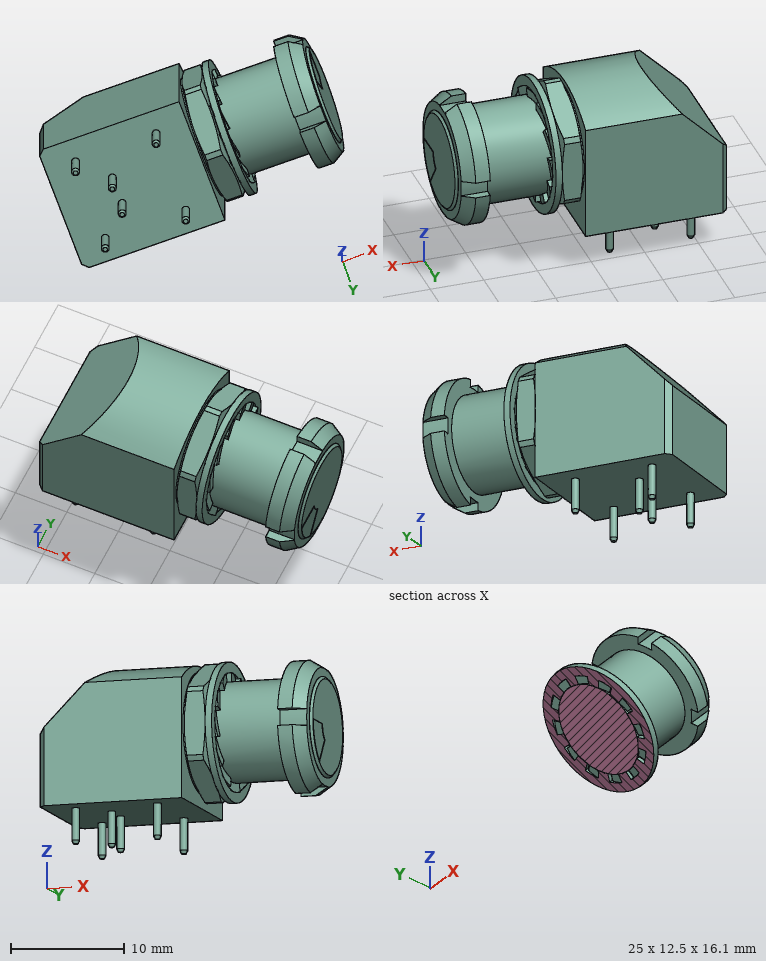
import cadquery as cq
import math

axis_height = 6.7

housing_length = 13.3
housing_width = 11.72
housing_side_height = 10.85
housing_crown_height = 12.7
slope_start_height = 6.55
back_corner_chamfer = 0.52

pin_radius = 0.35
pin_tip_radius = 0.2
pin_length = 3.2
pin_tip_length = 0.3
pin_pitch = 2.52
back_pin_x = 2.8
corner_pin_y = 1.5 * pin_pitch
inner_pin_y = 0.5 * pin_pitch
pin_positions = [
    (back_pin_x + column * pin_pitch, side * y)
    for column, y in [(0, corner_pin_y), (1, inner_pin_y), (3, corner_pin_y)]
    for side in (-1, 1)
]

nut_across_flats = 11.0
nut_corner_radius = 6.2
nut_collar_radius = 5.5
nut_collar_length = 0.12
nut_end_radius = 5.4
nut_chamfer_length = 0.22
nut_end_x = 15.38

washer_center_x = 15.9
washer_thickness = 0.6
washer_radius = 6.25
tooth_root_radius = 5.3
tooth_count = 12
tooth_angle = 28.0
tooth_tilt = 9.5

barrel_radius = 4.5
barrel_end_x = 24.95
barrel_end_chamfer = 0.22

flange_start_x = 22.22
flange_cone_x = 23.58
flange_end_x = 24.7
flange_radius = 6.0
flange_end_radius = 5.3
slot_count = 4
slot_width = 1.5
slot_floor_radius = 5.25

key_end_x = 25.0
key_inner_radius = 1.62
key_outer_radius = barrel_radius - barrel_end_chamfer
key_angle = 55.0


def revolve_on_axis(profile):
    """Turn a profile of (x, radius) points about the barrel axis, starting at the -Y side."""
    return (
        cq.Workplane("XY")
        .polyline([(x, -radius) for x, radius in profile])
        .close()
        .revolve(360, (0, 0, 0), (1, 0, 0))
        .translate((0, 0, axis_height))
    )


def cylinder_on_axis(start_x, end_x, radius):
    return revolve_on_axis([(start_x, 0), (start_x, radius), (end_x, radius), (end_x, 0)])


def ring_on_axis(start_x, end_x, inner_radius, outer_radius):
    return revolve_on_axis([
        (start_x, inner_radius),
        (start_x, outer_radius),
        (end_x, outer_radius),
        (end_x, inner_radius),
    ])


def turn_about_axis(body, angle):
    return body.rotate((0, 0, axis_height), (1, 0, axis_height), angle)


def make_housing():
    half_width = housing_width / 2
    block = (
        cq.Workplane("YZ")
        .moveTo(-half_width, 0)
        .lineTo(half_width, 0)
        .lineTo(half_width, housing_side_height)
        .threePointArc((0, housing_crown_height), (-half_width, housing_side_height))
        .close()
        .extrude(housing_length)
        .edges("|Z and <X")
        .chamfer(back_corner_chamfer)
    )
    slope_rise = housing_crown_height - slope_start_height
    slope_cut = (
        cq.Workplane("XZ")
        .polyline([
            (0, slope_start_height),
            (slope_rise, housing_crown_height),
            (0, housing_crown_height),
        ])
        .close()
        .extrude(half_width, both=True)
    )
    return block.cut(slope_cut)


def make_pin(x, y):
    return (
        cq.Workplane("XZ")
        .polyline([
            (0, 0),
            (pin_radius, 0),
            (pin_radius, pin_tip_length - pin_length),
            (pin_tip_radius, -pin_length),
            (0, -pin_length),
        ])
        .close()
        .revolve(360, (0, 0, 0), (0, 1, 0))
        .translate((x, y, 0))
    )


def make_hex_nut():
    hex_start_x = housing_length + nut_collar_length
    hexagon_diameter = nut_across_flats / math.cos(math.radians(30))
    hexagon = (
        cq.Workplane("YZ", origin=(housing_length, 0, axis_height))
        .polygon(6, hexagon_diameter)
        .extrude(nut_end_x - housing_length)
    )
    hexagon = turn_about_axis(hexagon, 30)
    turned_shape = revolve_on_axis([
        (housing_length, 0),
        (housing_length, nut_collar_radius),
        (hex_start_x, nut_collar_radius),
        (hex_start_x + nut_chamfer_length, nut_corner_radius),
        (nut_end_x - nut_chamfer_length, nut_corner_radius),
        (nut_end_x, nut_end_radius),
        (nut_end_x, 0),
    ])
    return hexagon.intersect(turned_shape)


def make_flange():
    flange = revolve_on_axis([
        (flange_start_x, 0),
        (flange_start_x, flange_radius),
        (flange_cone_x, flange_radius),
        (flange_end_x, flange_end_radius),
        (flange_end_x, 0),
    ])
    flange_length = flange_end_x - flange_start_x
    slot = cq.Workplane("XY").box(
        flange_length, slot_width, flange_radius, centered=(False, True, False)
    ).translate((flange_start_x, 0, axis_height))
    slot = slot.cut(cylinder_on_axis(flange_start_x, flange_end_x, slot_floor_radius))
    for index in range(slot_count):
        flange = flange.cut(turn_about_axis(slot, index * 360 / slot_count))
    return flange


def make_barrel():
    return revolve_on_axis([
        (housing_length, 0),
        (housing_length, barrel_radius),
        (barrel_end_x - barrel_end_chamfer, barrel_radius),
        (barrel_end_x, barrel_radius - barrel_end_chamfer),
        (barrel_end_x, 0),
    ])


def make_end_key():
    """Ring sector that starts at the -Y side and runs downward."""
    return (
        cq.Workplane("XY")
        .polyline([
            (barrel_end_x, -key_inner_radius),
            (barrel_end_x, -key_outer_radius),
            (key_end_x, -key_outer_radius),
            (key_end_x, -key_inner_radius),
        ])
        .close()
        .revolve(key_angle, (0, 0, 0), (1, 0, 0))
        .translate((0, 0, axis_height))
    )


def make_connector():
    connector = make_housing()
    for x, y in pin_positions:
        connector = connector.union(make_pin(x, y))
    for section in (make_barrel(), make_hex_nut(), make_flange(), make_end_key()):
        connector = connector.union(section)
    return connector


def make_washer_tooth():
    """Tooth pointing inward from the +Z side of the washer, tilted about Z."""
    half_angle = math.radians(tooth_angle / 2)
    half_span = washer_radius * math.tan(half_angle)
    sector = (
        cq.Workplane("YZ", origin=(washer_center_x, 0, axis_height))
        .polyline([(0, 0), (half_span, washer_radius), (-half_span, washer_radius)])
        .close()
        .extrude(washer_thickness, both=True)
    )
    plate = (
        cq.Workplane("XY")
        .box(washer_thickness, 2 * washer_radius, washer_radius, centered=(True, True, False))
        .rotate((0, 0, 0), (0, 0, 1), tooth_tilt)
        .translate((washer_center_x, 0, axis_height))
    )
    tooth_band = ring_on_axis(
        washer_center_x - washer_thickness,
        washer_center_x + washer_thickness,
        barrel_radius,
        tooth_root_radius,
    )
    return plate.intersect(sector).intersect(tooth_band)


def make_lock_washer():
    washer = ring_on_axis(
        washer_center_x - washer_thickness / 2,
        washer_center_x + washer_thickness / 2,
        tooth_root_radius,
        washer_radius,
    )
    tooth = make_washer_tooth()
    for index in range(tooth_count):
        washer = washer.union(turn_about_axis(tooth, index * 360 / tooth_count))
    return washer


connector = make_connector()
lock_washer = make_lock_washer()

result = cq.Compound.makeCompound([connector.solids().val(), lock_washer.solids().val()])